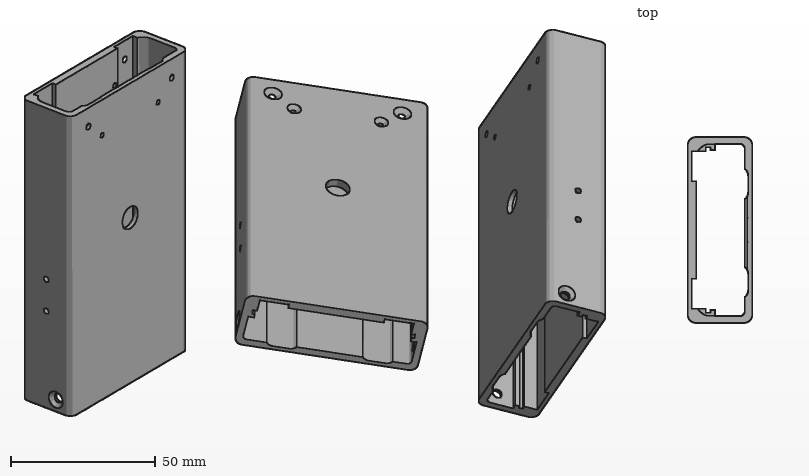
import cadquery as cq
import math

width = 22.5
depth = 64.6
height = 118.6
corner_radius = 3.0

side_wall = 2.5
face_wall = 2.7
thin_wall = 1.5
pad_wall = 3.1
pad_half_width = 17.0
inner_radius = 1.5
sweep_foot_half = 27.3
sweep_foot_x = -7.7
sweep_end_x = -3.4

channel_centre_y = -1.1
channel_inner = 11.7
channel_outer = 22.3
channel_radius = 3.0
relieved_land_wall = 1.8

rail_top = 59.3
rail_tip_x = -4.9
slot_half = 28.7
slot_end_x = -3.3
lip_half = 27.8
lip_end_x = -1.7

centre_hole_z = 65.5
centre_hole_diameter = 8.5
upper_screw_y = 22.9
upper_screw_z = 111.1
upper_screw_diameter = 2.3
upper_head_diameter = 6.3
lower_screw_y = 15.4
lower_screw_z = 104.6
lower_screw_diameter = 1.8
lower_head_diameter = 4.9
face_sink_depth = 1.4
pin_diameter = 2.1
pin_levels = (38.3, 50.9)
cap_screw_x = 4.3
cap_screw_z = 4.7
cap_screw_diameter = 3.4
cap_head_diameter = 6.3
cap_sink_depth = (cap_head_diameter - cap_screw_diameter) / 2

back_x = -width / 2
front_x = width / 2
thin_back_x = back_x + thin_wall
face_x = front_x - face_wall
channel_floor_x = front_x - thin_wall
cavity_half = depth / 2 - side_wall


def box(x_range, y_range, z_range):
    """Block spanning the given (low, high) ranges."""
    (x0, x1), (y0, y1), (z0, z1) = x_range, y_range, z_range
    return cq.Workplane("XY").box(x1 - x0, y1 - y0, z1 - z0, centered=False).translate((x0, y0, z0))


def tube_body():
    """Solid outer block with rounded upright edges."""
    return (
        cq.Workplane("XY")
        .box(width, depth, height, centered=(True, True, False))
        .edges("|Z")
        .fillet(corner_radius)
    )


def cavity():
    """Through opening with swept corners at -X and rounded corners at +X."""
    pad_x = back_x + pad_wall
    run = sweep_end_x - sweep_foot_x
    rise = cavity_half - sweep_foot_half
    sweep_radius = (run**2 + rise**2) / (2 * rise)
    half_turn = math.asin(run / sweep_radius) / 2
    mid_x = sweep_end_x - sweep_radius * math.sin(half_turn)
    mid_half = cavity_half - sweep_radius * (1 - math.cos(half_turn))
    opening = (
        cq.Workplane("XY")
        .moveTo(thin_back_x, sweep_foot_half)
        .lineTo(sweep_foot_x, sweep_foot_half)
        .threePointArc((mid_x, mid_half), (sweep_end_x, cavity_half))
        .lineTo(face_x, cavity_half)
        .lineTo(face_x, -cavity_half)
        .lineTo(sweep_end_x, -cavity_half)
        .threePointArc((mid_x, -mid_half), (sweep_foot_x, -sweep_foot_half))
        .lineTo(thin_back_x, -sweep_foot_half)
        .lineTo(thin_back_x, -pad_half_width)
        .lineTo(pad_x, -pad_half_width)
        .lineTo(pad_x, pad_half_width)
        .lineTo(thin_back_x, pad_half_width)
        .close()
        .extrude(height)
    )
    return opening.edges("|Z and >X").fillet(inner_radius)


def channel(side):
    """Shallow channel in the +X wall whose edges curve up from its floor; side is +1 or -1."""
    channel_depth = channel_floor_x - face_x
    edge_run = math.sqrt(channel_radius**2 - (channel_radius - channel_depth) ** 2)
    half_turn = math.acos(1 - channel_depth / channel_radius) / 2
    mid_run = edge_run - channel_radius * math.sin(half_turn)
    mid_x = channel_floor_x - channel_radius * (1 - math.cos(half_turn))

    def y(offset):
        return channel_centre_y + side * offset

    return (
        cq.Workplane("XY")
        .moveTo(0, y(channel_inner))
        .lineTo(face_x, y(channel_inner))
        .threePointArc((mid_x, y(channel_inner + mid_run)), (channel_floor_x, y(channel_inner + edge_run)))
        .lineTo(channel_floor_x, y(channel_outer - edge_run))
        .threePointArc((mid_x, y(channel_outer - mid_run)), (face_x, y(channel_outer)))
        .lineTo(0, y(channel_outer))
        .close()
        .extrude(height)
    )


def land_relief():
    """Cut that thins the land between the channels above the rails."""
    reach = (channel_inner + channel_outer) / 2
    return box(
        (0, front_x - relieved_land_wall),
        (channel_centre_y - reach, channel_centre_y + reach),
        (rail_top, height),
    )


def board_rail(side):
    """Slotted rail along a side wall, in the -X half of the cavity; side is +1 or -1."""
    outline = [
        (thin_back_x, cavity_half + side_wall / 2),
        (thin_back_x, sweep_foot_half),
        (rail_tip_x, sweep_foot_half),
        (rail_tip_x, slot_half),
        (slot_end_x, slot_half),
        (slot_end_x, lip_half),
        (lip_end_x, lip_half),
        (lip_end_x, cavity_half + side_wall / 2),
    ]
    points = [(x, side * y) for x, y in outline]
    return cq.Workplane("XY").polyline(points).close().extrude(rail_top)


def hole_along_x(y, z, diameter):
    """Drill through both walls facing -X and +X."""
    start = cq.Vector(back_x, y, z)
    return cq.Workplane(cq.Solid.makeCylinder(diameter / 2, width, start, cq.Vector(1, 0, 0)))


def hole_along_y(x, z, diameter):
    """Drill through both walls facing -Y and +Y."""
    start = cq.Vector(x, -depth / 2, z)
    return cq.Workplane(cq.Solid.makeCylinder(diameter / 2, depth, start, cq.Vector(0, 1, 0)))


def countersink(start, direction, head_diameter, hole_diameter, sink_depth):
    """Cone narrowing from a screw head to its hole."""
    cone = cq.Solid.makeCone(
        head_diameter / 2, hole_diameter / 2, sink_depth, cq.Vector(*start), cq.Vector(*direction)
    )
    return cq.Workplane(cone)


result = tube_body().cut(cavity())
for side in (1, -1):
    result = result.cut(channel(side))
result = result.cut(land_relief())
for side in (1, -1):
    result = result.union(board_rail(side))

result = result.cut(hole_along_x(0, centre_hole_z, centre_hole_diameter))

face_screws = (
    (upper_screw_y, upper_screw_z, upper_screw_diameter, upper_head_diameter),
    (lower_screw_y, lower_screw_z, lower_screw_diameter, lower_head_diameter),
)
for screw_y, screw_z, hole_diameter, head_diameter in face_screws:
    for side in (1, -1):
        start = (back_x, side * screw_y, screw_z)
        result = result.cut(hole_along_x(side * screw_y, screw_z, hole_diameter))
        result = result.cut(countersink(start, (1, 0, 0), head_diameter, hole_diameter, face_sink_depth))

for pin_z in pin_levels:
    result = result.cut(hole_along_y(0, pin_z, pin_diameter))

result = result.cut(hole_along_y(cap_screw_x, cap_screw_z, cap_screw_diameter))
for side in (1, -1):
    start = (cap_screw_x, side * depth / 2, cap_screw_z)
    result = result.cut(
        countersink(start, (0, -side, 0), cap_head_diameter, cap_screw_diameter, cap_sink_depth)
    )